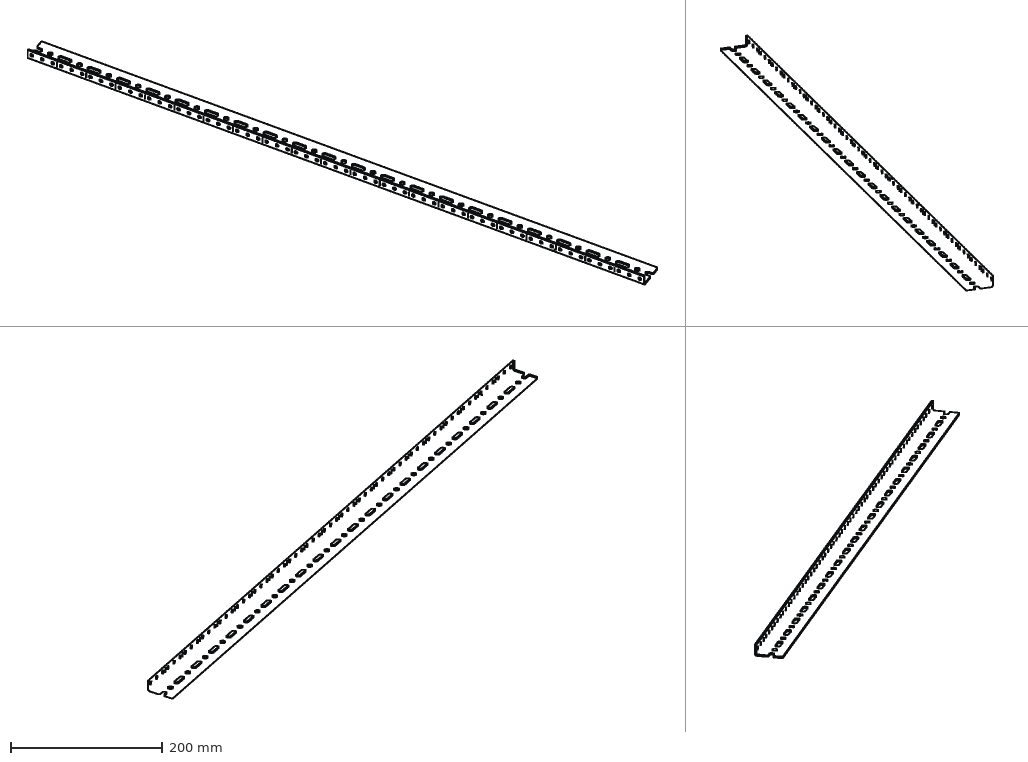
import cadquery as cq

UNIT = 44.45
UNIT_COUNT = 21
LENGTH = UNIT * UNIT_COUNT
FLANGE_WIDTH = 38.1
LEG_HEIGHT = 15.875
THICKNESS = 2.5
INNER_BEND_RADIUS = 1.0
OUTER_BEND_RADIUS = INNER_BEND_RADIUS + THICKNESS
CORNER_RADIUS = 1.5

RACK_HOLE_DIAMETER = 4.5
RACK_HOLE_PITCH = 15.875
RACK_HOLE_HEIGHT = 9.225

MARK_WIDTH = 0.8
MARK_HEIGHT = 6.35
MARK_DEPTH = 0.25

FLANGE_ROW_Y = 21.55
FLANGE_HOLE_DIAMETER = 6.76
SLOT_WIDTH = 6.76
SLOT_LENGTH = 19.6

UNIT_CENTERS = [(index + 0.5) * UNIT for index in range(UNIT_COUNT)]
UNIT_BOUNDARIES = [index * UNIT for index in range(UNIT_COUNT + 1)]


def angle_strip():
    """Bent strip: flange on the XY plane, leg standing up along its front (-Y) edge."""
    profile = (
        cq.Workplane("YZ")
        .moveTo(OUTER_BEND_RADIUS, 0)
        .lineTo(FLANGE_WIDTH, 0)
        .lineTo(FLANGE_WIDTH, THICKNESS)
        .lineTo(OUTER_BEND_RADIUS, THICKNESS)
        .radiusArc((THICKNESS, OUTER_BEND_RADIUS), INNER_BEND_RADIUS)
        .lineTo(THICKNESS, LEG_HEIGHT)
        .lineTo(0, LEG_HEIGHT)
        .lineTo(0, OUTER_BEND_RADIUS)
        .radiusArc((OUTER_BEND_RADIUS, 0), -OUTER_BEND_RADIUS)
        .close()
    )
    return profile.extrude(LENGTH)


def rack_holes():
    offsets = (-RACK_HOLE_PITCH, 0, RACK_HOLE_PITCH)
    points = [(center + offset, RACK_HOLE_HEIGHT) for center in UNIT_CENTERS for offset in offsets]
    holes = cq.Workplane("XZ").pushPoints(points).circle(RACK_HOLE_DIAMETER / 2)
    return holes.extrude(-THICKNESS)


def unit_marks():
    points = [(boundary, RACK_HOLE_HEIGHT) for boundary in UNIT_BOUNDARIES]
    marks = cq.Workplane("XZ").pushPoints(points[1:-1]).rect(MARK_WIDTH, MARK_HEIGHT)
    return marks.extrude(-MARK_DEPTH)


def flange_holes():
    points = [(center, FLANGE_ROW_Y) for center in UNIT_CENTERS]
    holes = cq.Workplane("XY").pushPoints(points).circle(FLANGE_HOLE_DIAMETER / 2)
    return holes.extrude(THICKNESS)


def flange_slots():
    """Slots on the unit boundaries; the first and last run out through the strip ends."""
    points = [(boundary, FLANGE_ROW_Y) for boundary in UNIT_BOUNDARIES]
    slots = cq.Workplane("XY").pushPoints(points).slot2D(SLOT_LENGTH, SLOT_WIDTH)
    return slots.extrude(THICKNESS)


def round_end_corners(strip):
    """Round the upright flange edges at both ends: outer corners and slot mouths."""
    end_edges = strip.faces("<X or >X").edges("|Z")
    flange_edges = end_edges.filter(lambda edge: edge.Center().y > OUTER_BEND_RADIUS)
    return flange_edges.fillet(CORNER_RADIUS)


rail = round_end_corners(angle_strip().cut(flange_slots()))
result = rail.cut(flange_holes()).cut(rack_holes()).cut(unit_marks())